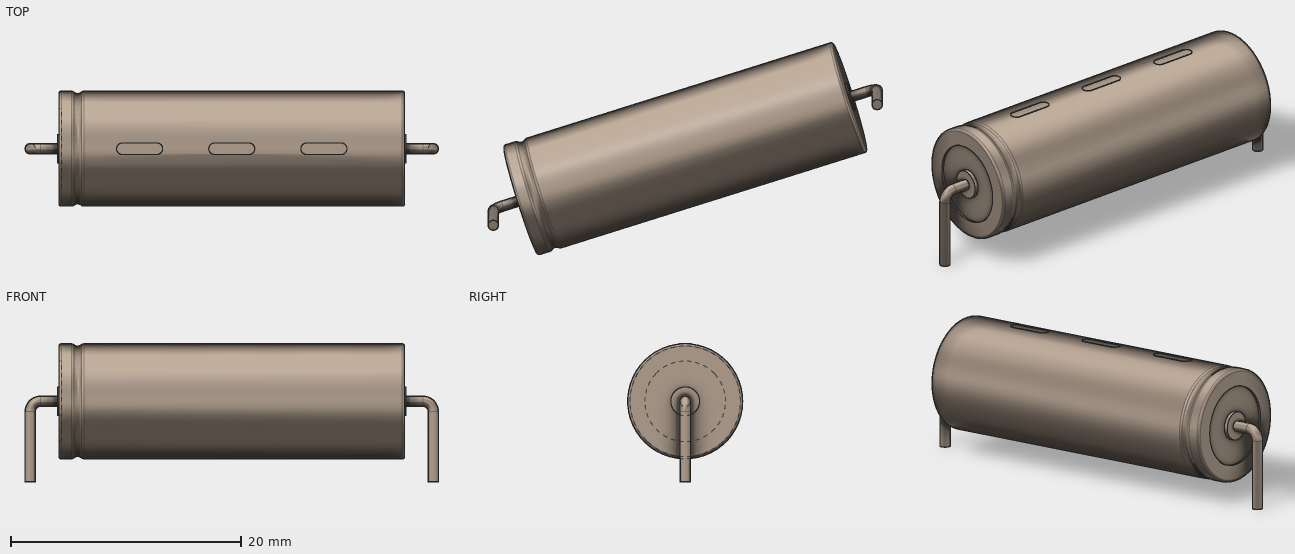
import cadquery as cq
import math

can_length = 30.0
can_diameter = 10.0
can_radius = can_diameter / 2
edge_radius = 0.2
end_x = can_length / 2

groove_offset = 1.62
groove_half_width = 0.54
groove_depth = 0.2
groove_floor_share = 0.6

recess_diameter = 0.7 * can_diameter
recess_depth = 0.2

collar_diameter = 2.5
collar_height = 0.14

lead_diameter = 0.9
lead_pitch = 35.0
lead_bend_radius = 0.9
lead_bottom_z = -7.0
lead_root_depth = 0.1

bar_length = 4.0
bar_width = 1.0
bar_pitch = 8.0
bar_count = 3
bar_top_z = can_radius + 0.02
bar_root_depth = 0.5


def make_can():
    """Revolve the can profile, with its rounded rims and rolled groove, about X."""
    groove_x = -end_x + groove_offset
    floor_r = can_radius - groove_depth

    sweep = 2 * math.atan(groove_depth / groove_half_width)
    radii_sum = groove_half_width / math.sin(sweep)
    floor_arc_radius = groove_floor_share * radii_sum
    joint_dx = groove_floor_share * groove_half_width
    joint_r = floor_r + floor_arc_radius * (1 - math.cos(sweep))

    profile = (
        cq.Workplane("XY")
        .moveTo(-end_x, 0)
        .lineTo(-end_x, can_radius - edge_radius)
        .tangentArcPoint((-end_x + edge_radius, can_radius), relative=False)
        .lineTo(groove_x - groove_half_width, can_radius)
        .tangentArcPoint((groove_x - joint_dx, joint_r), relative=False)
        .threePointArc((groove_x, floor_r), (groove_x + joint_dx, joint_r))
        .tangentArcPoint((groove_x + groove_half_width, can_radius), relative=False)
        .lineTo(end_x - edge_radius, can_radius)
        .tangentArcPoint((end_x, can_radius - edge_radius), relative=False)
        .lineTo(end_x, 0)
        .close()
    )
    return profile.revolve(360, (0, 0, 0), (1, 0, 0))


def make_rod(diameter, x_start, x_end):
    """Cylinder along the X axis between two X positions."""
    return cq.Workplane("YZ", origin=(x_start, 0, 0)).circle(diameter / 2).extrude(x_end - x_start)


def make_lead():
    """Wire that leaves the +X end along X and bends down to -Z."""
    root_x = end_x - lead_root_depth
    lead_x = lead_pitch / 2
    path = (
        cq.Workplane("XZ")
        .moveTo(root_x, 0)
        .lineTo(lead_x - lead_bend_radius, 0)
        .tangentArcPoint((lead_x, -lead_bend_radius), relative=False)
        .lineTo(lead_x, lead_bottom_z)
    )
    section = cq.Workplane("YZ", origin=(root_x, 0, 0)).circle(lead_diameter / 2)
    return section.sweep(path)


def make_bars():
    """Row of round-ended bars with flat tops just above the can surface."""
    return (
        cq.Workplane("XY", origin=(0, 0, bar_top_z))
        .rarray(bar_pitch, 1, bar_count, 1)
        .slot2D(bar_length, bar_width)
        .extrude(-bar_root_depth)
    )


can = make_can().cut(make_rod(recess_diameter, -end_x, -end_x + recess_depth))
collars = make_rod(collar_diameter, -end_x - collar_height, end_x + collar_height)
right_lead = make_lead()
left_lead = right_lead.mirror("YZ")

result = can.union(collars).union(right_lead).union(left_lead).union(make_bars())